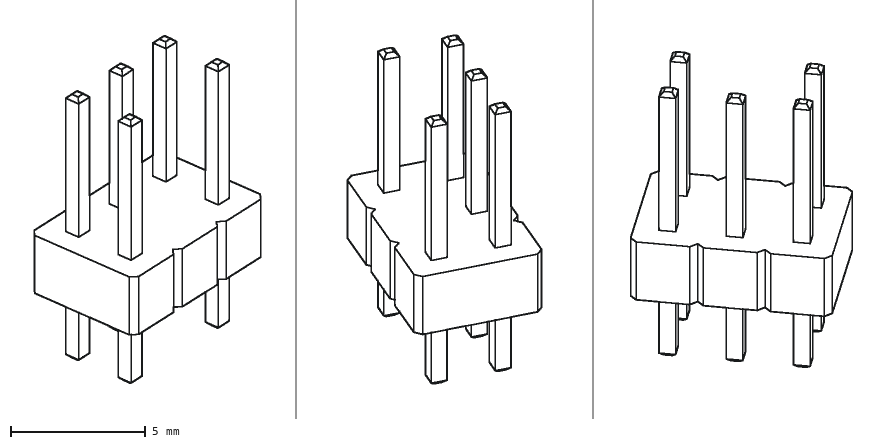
import cadquery as cq

pitch = 2.54
columns = 2
rows = 3
missing_pin = (1, 1)
total_height = 11.54
tail_length = 3.0
pin_width = 0.63
tip_chamfer = 0.16
corner_cut = 0.25

housing_width = columns * pitch
pin_bottom = -total_height / 2
housing_bottom = pin_bottom + tail_length


def centred_position(index, count):
    """Coordinate of one pin position in a row of evenly spaced ones centred on zero."""
    return (index - (count - 1) / 2) * pitch


def make_housing_block():
    """Block around one row of pins, with its four vertical edges cut at 45 degrees."""
    return (
        cq.Workplane("XY")
        .workplane(offset=housing_bottom)
        .rect(housing_width, pitch)
        .extrude(pitch)
        .edges("|Z")
        .chamfer(corner_cut)
    )


def make_pin():
    """Square pin on the Z axis with a tapered tip at both ends."""
    return (
        cq.Workplane("XY")
        .workplane(offset=pin_bottom)
        .rect(pin_width, pin_width)
        .extrude(total_height)
        .faces("<Z or >Z")
        .chamfer(tip_chamfer)
    )


block = make_housing_block()
result = cq.Workplane("XY")
for row in range(rows):
    result = result.union(block.translate((0, centred_position(row, rows), 0)))

pin = make_pin()
for column in range(columns):
    for row in range(rows):
        if (column, row) != missing_pin:
            x = centred_position(column, columns)
            y = centred_position(row, rows)
            result = result.union(pin.translate((x, y, 0)))